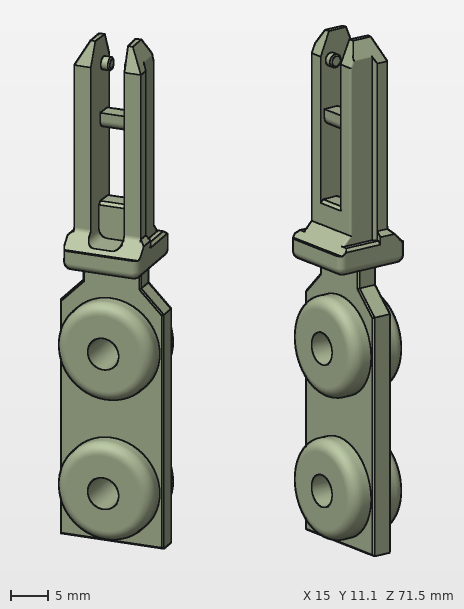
import cadquery as cq

plate_half_width = 7.5
plate_thickness = 3.0
plate_edge_chamfer = 0.2
neck_half_width = 4.2
shoulder_bottom = 33.6
shoulder_top = shoulder_bottom + plate_half_width - neck_half_width
roller_heights = (7.95, 27.95)
roller_radius = 7.0
roller_length = 8.9
roller_fillet = 1.6
bolt_hole_diameter = 4.5

collar_half_width = 5.54
collar_bottom = 39.55
collar_edge = 42.4
collar_fillet = 0.9
collar_bottom_fillet = 1.1
slope_foot = 5.15

total_height = 71.5
prong_half_depth = 2.9
prong_half_width = 4.85
tip_start = 68.2
tip_half_depth = 1.5
tip_half_width = 3.1
slope_top = collar_edge + slope_foot - prong_half_depth
flare = collar_half_width - prong_half_width

recess_half_width = 4.35
recess_floor = 43.3
recess_front = -0.7
recess_step = prong_half_width - recess_half_width
recess_edge_chamfer = 0.4
recess_wall_fillet = 0.3
prong_foot_fillet = 0.85

slot_half_front = 2.4
slot_half_back = 2.18
slot_floor = 43.0
slot_floor_fillet = 1.2

wall_front = -0.35
wall_top = 48.05
wall_top_chamfer = 0.4
bar_radius = 1.15
bar_center_y = 1.15
bar_center_z = 59.55
bar_top = bar_center_z + bar_radius
peg_radius = 0.9
peg_center_y = 1.15
peg_center_z = 67.5
peg_half_gap = 1.1
peg_end_chamfer = 0.2

pick_margin = 0.1


def box(x_range, y_range, z_range):
    """Box given by its limits along the three axes."""
    sizes = [high - low for low, high in (x_range, y_range, z_range)]
    corner = (x_range[0], y_range[0], z_range[0])
    return cq.Workplane("XY").box(*sizes, centered=False).translate(corner)


def make_plate():
    outline = [
        (-plate_half_width, 0),
        (plate_half_width, 0),
        (plate_half_width, shoulder_bottom),
        (neck_half_width, shoulder_top),
        (neck_half_width, collar_bottom),
        (-neck_half_width, collar_bottom),
        (-neck_half_width, shoulder_top),
        (-plate_half_width, shoulder_bottom),
    ]
    plate = cq.Workplane("XZ").polyline(outline).close().extrude(plate_thickness / 2, both=True)
    plate = plate.faces("<Y or >Y").chamfer(plate_edge_chamfer)
    neck_root = collar_bottom - plate_edge_chamfer
    half_thickness = plate_thickness / 2
    return plate.union(
        box(
            (-neck_half_width, neck_half_width),
            (-half_thickness, half_thickness),
            (neck_root, collar_edge),
        )
    )


def make_roller(height):
    roller = cq.Workplane("XZ").center(0, height).circle(roller_radius)
    return roller.extrude(roller_length / 2, both=True).edges().fillet(roller_fillet)


def make_bolt_holes():
    centers = [(0, height) for height in roller_heights]
    holes = cq.Workplane("XZ").pushPoints(centers).circle(bolt_hole_diameter / 2)
    return holes.extrude(roller_length, both=True)


def make_collar():
    block = box(
        (-collar_half_width, collar_half_width),
        (-collar_half_width, collar_half_width),
        (collar_bottom, slope_top),
    )
    block = block.edges("|Z").fillet(collar_fillet)
    block = block.faces("<Z").edges().fillet(collar_bottom_fillet)
    profile = [
        (-collar_half_width, collar_bottom),
        (collar_half_width, collar_bottom),
        (collar_half_width, collar_edge),
        (slope_foot, collar_edge),
        (prong_half_depth, slope_top),
        (-prong_half_depth, slope_top),
        (-slope_foot, collar_edge),
        (-collar_half_width, collar_edge),
    ]
    house = cq.Workplane("YZ").polyline(profile).close().extrude(collar_half_width, both=True)
    return block.intersect(house.faces(">Z").edges("|Y").chamfer(flare))


def make_fork_blank():
    shaft = box(
        (-prong_half_width, prong_half_width),
        (-prong_half_depth, prong_half_depth),
        (slot_floor, tip_start),
    )
    tip = (
        cq.Workplane("XY", origin=(0, 0, tip_start))
        .rect(2 * prong_half_width, 2 * prong_half_depth)
        .workplane(offset=total_height - tip_start)
        .rect(2 * tip_half_width, 2 * tip_half_depth)
        .loft(ruled=True)
    )
    return shaft.union(tip)


def make_side_recess(side):
    """Cutter for one outer face: 45 degree front step, flat floor with a bevelled outer edge."""
    step_back = recess_front - recess_step
    outline = [
        (side * recess_half_width, recess_front),
        (side * prong_half_width, step_back),
        (side * collar_half_width, step_back),
        (side * collar_half_width, collar_half_width),
        (side * recess_half_width, collar_half_width),
    ]
    pocket = cq.Workplane("XY", origin=(0, 0, recess_floor)).polyline(outline).close()
    pocket = pocket.extrude(total_height - recess_floor)
    bevel_outline = [
        (side * collar_half_width, recess_floor),
        (side * (collar_half_width - recess_edge_chamfer), recess_floor),
        (side * collar_half_width, recess_floor - recess_edge_chamfer),
    ]
    bevel = cq.Workplane("XZ", origin=(0, step_back, 0)).polyline(bevel_outline).close()
    return pocket.union(bevel.extrude(step_back - collar_half_width))


def make_slot():
    taper = (slot_half_front - slot_half_back) / (2 * prong_half_depth)
    overrun = taper * (collar_half_width - prong_half_depth)
    half_front = slot_half_front + overrun
    half_back = slot_half_back - overrun
    outline = [
        (-half_front, -collar_half_width),
        (half_front, -collar_half_width),
        (half_back, collar_half_width),
        (-half_back, collar_half_width),
    ]
    slot = cq.Workplane("XY", origin=(0, 0, slot_floor)).polyline(outline).close()
    slot = slot.extrude(total_height - slot_floor)
    return slot.faces("<Z").edges("not |X").fillet(slot_floor_fillet)


def make_wall():
    """Stop wall at the foot of the slot, running on into the sloping back of the collar."""
    wall = box(
        (-slot_half_front, slot_half_front),
        (wall_front, prong_half_depth),
        (collar_edge, wall_top),
    )
    wall = wall.faces(">Z").edges("|X").chamfer(wall_top_chamfer)
    foot_profile = [
        (wall_front, collar_edge),
        (slope_foot, collar_edge),
        (prong_half_depth, slope_top),
        (wall_front, slope_top),
    ]
    foot = cq.Workplane("YZ").polyline(foot_profile).close().extrude(slot_half_front, both=True)
    return wall.union(foot)


def make_bar():
    """Cross bar with a flat top and a round underside."""
    profile = (
        cq.Workplane("YZ")
        .moveTo(bar_center_y - bar_radius, bar_top)
        .lineTo(bar_center_y - bar_radius, bar_center_z)
        .threePointArc(
            (bar_center_y, bar_center_z - bar_radius),
            (bar_center_y + bar_radius, bar_center_z),
        )
        .lineTo(bar_center_y + bar_radius, bar_top)
        .close()
    )
    return profile.extrude(slot_half_front, both=True)


def make_peg(side):
    peg = cq.Workplane("YZ", origin=(side * peg_half_gap, 0, 0))
    peg = peg.center(peg_center_y, peg_center_z).circle(peg_radius)
    peg = peg.extrude(side * (slot_half_front - peg_half_gap))
    inner_end = "<X" if side > 0 else ">X"
    return peg.faces(inner_end).chamfer(peg_end_chamfer)


def round_recess_wall(body, side):
    """Round the back, sloping and tip edges around one recessed outer face."""
    x = side * recess_half_width
    wall_slab = cq.selectors.BoxSelector(
        (x - pick_margin, recess_front + pick_margin, recess_floor + pick_margin),
        (x + pick_margin, collar_half_width, total_height),
    )
    return body.edges(wall_slab).fillet(recess_wall_fillet)


def make_prong_foot():
    """Concave blend from the front slope of the collar up to the front of the prongs."""
    profile = [
        (0, collar_edge),
        (-slope_foot, collar_edge),
        (-prong_half_depth, slope_top),
        (-prong_half_depth, tip_start),
        (0, tip_start),
    ]
    foot = cq.Workplane("YZ").polyline(profile).close().extrude(prong_half_width, both=True)
    inner_edge = cq.selectors.BoxSelector(
        (-prong_half_width, -prong_half_depth - pick_margin, slope_top - pick_margin),
        (prong_half_width, -prong_half_depth + pick_margin, slope_top + pick_margin),
    )
    return foot.edges(inner_edge).fillet(prong_foot_fillet)


fork = make_collar().union(make_fork_blank()).union(make_prong_foot())
for side in (-1, 1):
    fork = round_recess_wall(fork.cut(make_side_recess(side)), side)
fork = fork.cut(make_slot()).union(make_wall()).union(make_bar())
for side in (-1, 1):
    fork = fork.union(make_peg(side))

hinge = make_plate()
for height in roller_heights:
    hinge = hinge.union(make_roller(height))
hinge = hinge.cut(make_bolt_holes())

result = hinge.union(fork)